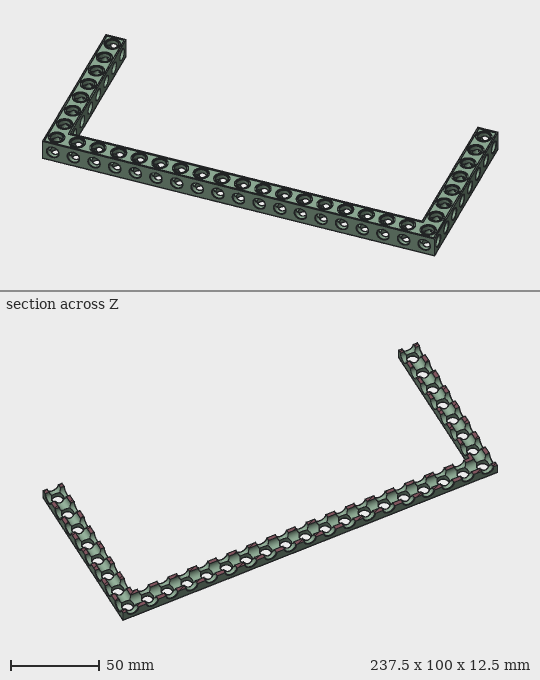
import cadquery as cq

pitch = 12.5
base_holes = 19
arm_holes = 8
bar_width = 12.2
rim_width = 0.9
recess_depth = 0.2
collar_diameter = 9.2
hole_diameter = 7.0
mouth_diameter = 7.6

length = base_holes * pitch
arm_length = arm_holes * pitch
height = pitch
half_pitch = pitch / 2
chamfer_size = (mouth_diameter - hole_diameter) / 2

along_base = [half_pitch + i * pitch for i in range(base_holes)]
along_arm = [half_pitch + i * pitch for i in range(arm_holes)]
base_points = [(x, half_pitch) for x in along_base]
arm_points = [(x, y) for x in (along_base[0], along_base[-1]) for y in along_arm[1:]]
grid_points = base_points + arm_points


def u_shape(inset, bottom, top):
    """U-shaped slab between two heights, its outline moved inward by inset."""
    outer = cq.Workplane("XY").box(length - 2 * inset, arm_length - 2 * inset, top - bottom, centered=False)
    outer = outer.translate((inset, inset, bottom))
    opening_start = bar_width - inset
    opening = cq.Workplane("XY").box(length - 2 * opening_start, arm_length, top - bottom, centered=False)
    return outer.cut(opening.translate((opening_start, opening_start, bottom)))


def cylinders(plane, points, diameter, distance):
    """Cylinders at all the points, extruded from the plane."""
    return plane.pushPoints(points).circle(diameter / 2).extrude(distance)


def frame_body():
    """Frame with a shallow top recess and a collar around every vertical hole."""
    recess_floor = height - recess_depth
    body = u_shape(0, 0, height).cut(u_shape(rim_width, recess_floor, height))
    collar_plane = cq.Workplane("XY").workplane(offset=recess_floor)
    return body.union(cylinders(collar_plane, grid_points, collar_diameter, recess_depth))


def mouth_chamfers(centres, inward):
    """Cones that chamfer hole mouths; inward is the direction into the part."""
    wide = mouth_diameter / 2
    narrow = hole_diameter / 2
    axis = cq.Vector(*inward)
    cones = [cq.Solid.makeCone(wide, narrow, chamfer_size, cq.Vector(*c), axis) for c in centres]
    return cq.Workplane(obj=cq.Compound.makeCompound(cones))


def drill_vertical(body):
    """Through holes along Z, chamfered at the top."""
    body = body.cut(cylinders(cq.Workplane("XY"), grid_points, hole_diameter, height))
    mouths = [(x, y, height) for x, y in grid_points]
    return body.cut(mouth_chamfers(mouths, (0, 0, -1)))


def drill_along_y(body):
    """Holes through the base; the two end holes run on along the arms."""
    points = [(x, half_pitch) for x in along_base]
    body = body.cut(cylinders(cq.Workplane("XZ"), points, hole_diameter, -arm_length))
    mouths = [(x, 0, half_pitch) for x in along_base]
    return body.cut(mouth_chamfers(mouths, (0, 1, 0)))


def drill_along_x(body):
    """Holes through both arms; the corner hole runs on along the base."""
    points = [(y, half_pitch) for y in along_arm]
    body = body.cut(cylinders(cq.Workplane("YZ"), points, hole_diameter, length))
    for face_x, direction in ((0, 1), (length, -1)):
        mouths = [(face_x, y, half_pitch) for y in along_arm]
        body = body.cut(mouth_chamfers(mouths, (direction, 0, 0)))
    return body


result = drill_along_x(drill_along_y(drill_vertical(frame_body())))